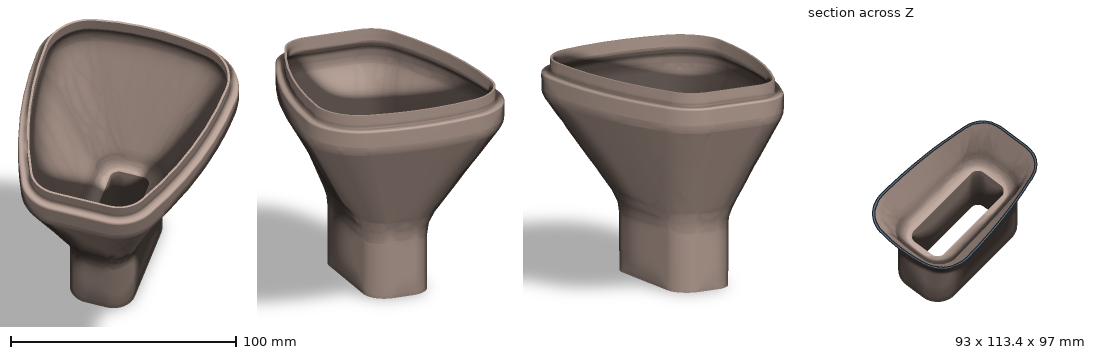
import cadquery as cq
import math

total_height = 97.0
lip_height = 6.1
flange_top = total_height - lip_height
funnel_top = 81.0
funnel_bottom = 32.0

mouth_width = 93.0
mouth_half_width = mouth_width / 2
mouth_length = 113.4
widest_from_front = 85.9
front_flat_half = 12.9
side_radius = 178.4
back_corner_radius = 25.2

spout_width = 30.0
spout_length = 59.0
spout_radius = 10.1
spout_from_front = 26.3

mouth_front = -spout_length / 2 - spout_from_front
mouth_back = mouth_front + mouth_length
widest_y = mouth_front + widest_from_front

wall = 1.0
lip_inset = 4.0
step_radius = 1.0
neck_radius = 20.0
shoulder_radius = 7.9
lip_slope_radius = 2.0

slot_wall = 6.0
floor_height = 30.1
floor_radius = 6.0

funnel_lean = math.atan2(mouth_half_width - spout_width / 2, funnel_top - funnel_bottom)

reach = 2 * mouth_length


def arc_point(centre, radius, angle):
    return (centre[0] + radius * math.cos(angle), centre[1] + radius * math.sin(angle))


def mirrored(point):
    return (-point[0], point[1])


def mouth(inset, height):
    """Closed wire of the mouth outline, moved inwards by inset."""
    side_centre = (mouth_half_width - side_radius, widest_y)
    corner_centre = (mouth_half_width - back_corner_radius, widest_y)

    dx = front_flat_half - side_centre[0]
    dy = mouth_front - widest_y
    front_radius = (side_radius**2 - dx**2 - dy**2) / (2 * (side_radius + dy))
    front_centre = (front_flat_half, mouth_front + front_radius)

    rise = mouth_back - widest_y
    back_radius = (rise**2 + corner_centre[0]**2 - back_corner_radius**2) / (2 * (rise - back_corner_radius))
    back_centre_y = mouth_back - back_radius

    side_angle = math.atan2(front_centre[1] - widest_y, front_centre[0] - side_centre[0])
    back_angle = math.atan2(widest_y - back_centre_y, corner_centre[0])

    front_start = (front_flat_half, mouth_front + inset)
    front_mid = arc_point(front_centre, front_radius - inset, (side_angle - math.pi / 2) / 2)
    side_start = arc_point(side_centre, side_radius - inset, side_angle)
    side_mid = arc_point(side_centre, side_radius - inset, side_angle / 2)
    side_end = (mouth_half_width - inset, widest_y)
    corner_mid = arc_point(corner_centre, back_corner_radius - inset, back_angle / 2)
    back_start = arc_point(corner_centre, back_corner_radius - inset, back_angle)
    back_mid = (0, mouth_back - inset)

    outline = (
        cq.Workplane("XY", origin=(0, 0, height))
        .moveTo(*mirrored(front_start))
        .lineTo(*front_start)
        .threePointArc(front_mid, side_start)
        .threePointArc(side_mid, side_end)
        .threePointArc(corner_mid, back_start)
        .threePointArc(back_mid, mirrored(back_start))
        .threePointArc(mirrored(corner_mid), mirrored(side_end))
        .threePointArc(mirrored(side_mid), mirrored(side_start))
        .threePointArc(mirrored(front_mid), mirrored(front_start))
    )
    return outline.wire().val()


def spout(inset, height):
    """Closed wire of the spout outline, moved inwards by inset; its edges pair with those of the mouth."""
    x = spout_width / 2 - inset
    y = spout_length / 2 - inset
    flat_x = spout_width / 2 - spout_radius
    flat_y = spout_length / 2 - spout_radius
    mid_x, mid_y = arc_point((flat_x, flat_y), spout_radius - inset, math.pi / 4)
    outline = (
        cq.Workplane("XY", origin=(0, 0, height))
        .moveTo(-flat_x, -y)
        .lineTo(flat_x, -y)
        .threePointArc((mid_x, -mid_y), (x, -flat_y))
        .lineTo(x, flat_y)
        .threePointArc((mid_x, mid_y), (flat_x, y))
        .lineTo(-flat_x, y)
        .threePointArc((-mid_x, mid_y), (-x, flat_y))
        .lineTo(-x, -flat_y)
        .threePointArc((-mid_x, -mid_y), (-flat_x, -y))
    )
    return outline.wire().val()


def prism(outline, inset, bottom, top):
    """Upright block with the given outline."""
    return cq.Workplane(cq.Solid.extrudeLinear(outline(inset, bottom), [], cq.Vector(0, 0, top - bottom)))


def loft(lower_wire, upper_wire):
    """Straight-sided block between two outlines."""
    return cq.Workplane(cq.Solid.makeLoft([lower_wire, upper_wire], True))


def edges_at(height):
    """Selector of all edges that lie flat at one height."""
    margin = 0.01
    low_corner = (-reach, -reach, height - margin)
    high_corner = (reach, reach, height + margin)
    return cq.selectors.BoxSelector(low_corner, high_corner, boundingbox=True)


def funnel(inset, mouth_top):
    """Spout, leaning funnel and upright mouth band, all moved inwards by inset."""
    lift = inset * math.tan(funnel_lean / 2)
    neck = funnel_bottom + lift
    shoulder = funnel_top + lift
    body = loft(spout(inset, neck), mouth(inset, shoulder))
    body = body.union(prism(spout, inset, 0, neck))
    body = body.union(prism(mouth, inset, shoulder, mouth_top))
    body = body.edges(edges_at(neck)).fillet(neck_radius + inset)
    return body.edges(edges_at(shoulder)).fillet(shoulder_radius - inset)


def outside():
    """Solid outer shape with the stepped-in lip; the rim and the foot of the step are rounded."""
    body = funnel(0, flange_top)
    body = body.union(prism(mouth, lip_inset, flange_top, total_height))
    return body.edges(edges_at(flange_top)).fillet(step_radius)


def cavity():
    """Space inside the wall, from the flat floor up through the lip."""
    slope_bottom = flange_top - lip_inset
    body = funnel(wall, slope_bottom)

    below_floor = cq.Workplane("XY").box(reach, reach, floor_height, centered=(True, True, False))
    body = body.cut(below_floor)
    body = body.edges(edges_at(floor_height)).fillet(floor_radius)

    lip_inside = lip_inset + wall
    body = body.union(loft(mouth(wall, slope_bottom), mouth(lip_inside, flange_top)))
    body = body.union(prism(mouth, lip_inside, flange_top, total_height))
    body = body.edges(edges_at(slope_bottom)).fillet(lip_slope_radius)
    return body.edges(edges_at(flange_top)).fillet(lip_slope_radius)


slot = prism(spout, slot_wall, 0, funnel_bottom)

result = outside().cut(cavity()).cut(slot).solids()